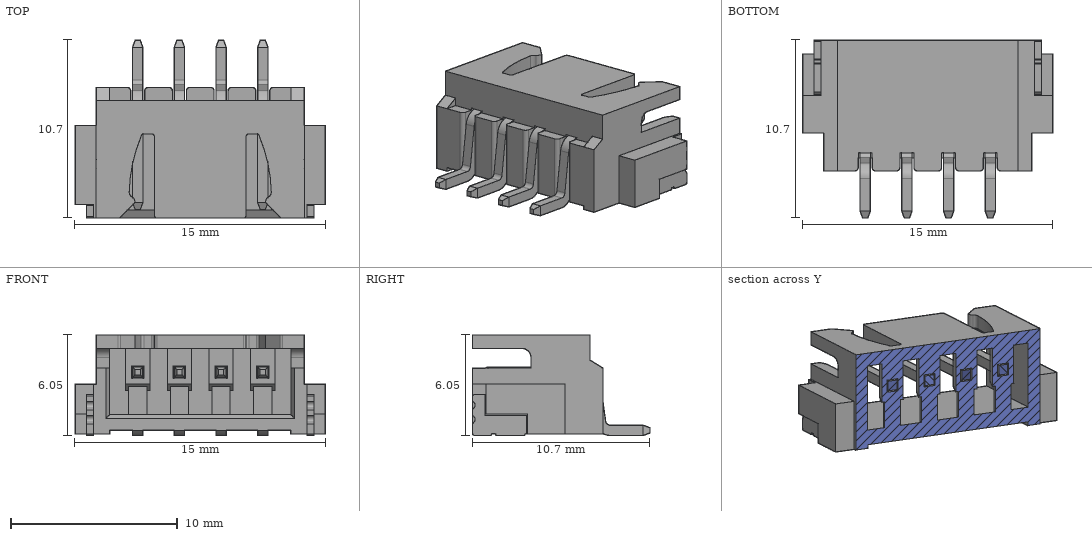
import cadquery as cq
import math


PIN_COUNT = 4
PIN_PITCH = 2.5

SHELL_WIDTH = 12.5
SHELL_DEPTH = 7.85
SHELL_TOP = 6.05
SHELL_BOTTOM = 0.09
CAVITY_WIDTH = 10.86
CAVITY_DEPTH = 5.91
FLOOR_TOP = 1.26
ROOF_UNDERSIDE = 5.22
SILL_DROP = 0.22
SILL_LENGTH = 0.48
BELLY_WIDTH = 10.83
BELLY_Z = 0.32

REAR_STEP_Y = 7.06
REAR_SLOPE_TOP = 4.53
REAR_SLOPE_BOTTOM = 4.05
TAIL_SLOT_WIDTH = 0.82
TAIL_SLOT_CORNER = 0.22

WINDOW_DEPTH = 3.51
WINDOW_BOTTOM = 4.05
WINDOW_FILLET = 0.54
SLOT_INNER_X = 2.75
SLOT_END_Y = 5.05
SLOT_CORNER = 0.18
TONGUE_CORNER = 0.16
SLOT_SHOULDER_X = 3.55
SLOT_BULGE = (4.04, 3.38)
SLOT_BELLY = (4.26, 1.56)
HOOK_HOLLOW = (4.22, 1.4)
HOOK_CREST = (4.08, 1.28)
HOOK_NOSE = (3.96, 1.14)
HOOK_TIP = (3.92, 0.93)
MOUTH_ANGLE = math.radians(45)
FINGER_CORNER = 0.22

PILLAR_WIDTH = 1.45
PILLAR_DEPTH = 0.45
PILLAR_BOTTOM = 3.09
PILLAR_SLOPE_END = 2.72
PILLAR_FOOT_WIDTH = 1.1
PILLAR_FOOT_TOP = 2.95

EAR_SPAN = 15.0
EAR_TOP = 3.09
EAR_FRONT_Y = 0.81
EAR_BACK_Y = 5.56
EAR_NOTCH_Y = 3.3
EAR_NOTCH_TOP = 1.3
CHEEK_WIDTH = 12.78
TAB_THICKNESS = 0.44
TAB_TOP = 2.46
TAB_FOOT_TOP = 1.2
TAB_FOOT_LENGTH = 3.25
TAB_ARM_WIDTH = 0.76
TAB_REAR_CHAMFER = 0.15
TAB_EDGE_CHAMFER = 0.09
TOOTH_NOTCH_TOPS = (2.05, 1.2)
TOOTH_NOTCH_HEIGHT = 0.51
TOOTH_NOTCH_DEPTH = 0.16
TOOTH_BEVEL_HEIGHT = 0.12
TOOTH_BEVEL_DEPTH = 0.1
SOLE_NOTCH_Y = 1.28
SOLE_NOTCH_HALF = 0.15
SOLE_NOTCH_DEPTH = 0.12

PIN_SIZE = 0.63
PIN_HOLE = 0.72
PIN_AXIS_Z = 3.802
PIN_FRONT_Y = 0.52
PIN_END_Y = 10.66
TIP_LENGTH = 0.42
TIP_SIZE = 0.32
BEND_RADIUS = 0.6
LEG_LEAN = math.radians(7.8)
LOWER_BEND_Y = 8.28

TAIL_AXIS_Z = PIN_SIZE / 2
BEND_ANGLE = math.pi / 2 - LEG_LEAN
LEG_DROP = PIN_AXIS_Z - TAIL_AXIS_Z - 2 * BEND_RADIUS * (1 - math.sin(LEG_LEAN))
UPPER_BEND_Y = LOWER_BEND_Y - 2 * BEND_RADIUS * math.cos(LEG_LEAN) - LEG_DROP * math.tan(LEG_LEAN)

pin_xs = [(i - (PIN_COUNT - 1) / 2) * PIN_PITCH for i in range(PIN_COUNT)]


def box(width, y_range, z_range, x=0.0):
    """Block of the given X width, centred on x, between two Y and two Z values."""
    depth = y_range[1] - y_range[0]
    height = z_range[1] - z_range[0]
    block = cq.Workplane("XY").box(width, depth, height, centered=(True, False, False))
    return block.translate((x, y_range[0], z_range[0]))


def profile_along_x(points, width, x=0.0):
    """Closed (Y, Z) outline extruded to the given X width, centred on x."""
    return cq.Workplane("YZ").polyline(points).close().extrude(width / 2, both=True).translate((x, 0, 0))


def both_sides(shape):
    """The shape together with its mirror image in X = 0."""
    return shape.union(shape.mirror("YZ"))


def shell():
    """Outer block with the sloped rear shoulders and the thickened lower walls."""
    outline = [
        (0, SHELL_BOTTOM),
        (SHELL_DEPTH, SHELL_BOTTOM),
        (SHELL_DEPTH, REAR_SLOPE_BOTTOM),
        (REAR_STEP_Y, REAR_SLOPE_TOP),
        (REAR_STEP_Y, SHELL_TOP),
        (0, SHELL_TOP),
    ]
    cheeks = box(CHEEK_WIDTH, (0, EAR_BACK_Y), (SHELL_BOTTOM, EAR_TOP))
    rear_ledge = box(CAVITY_WIDTH, (REAR_STEP_Y, SHELL_DEPTH), (REAR_SLOPE_BOTTOM, SHELL_TOP))
    belly = box(BELLY_WIDTH, (0, SHELL_DEPTH), (SHELL_BOTTOM, BELLY_Z))
    return profile_along_x(outline, SHELL_WIDTH).union(cheeks).cut(rear_ledge).cut(belly)


def ears():
    """Side ears, notched in their lower front corner to clear the solder tabs."""
    outline = [
        (EAR_FRONT_Y, EAR_NOTCH_TOP),
        (EAR_NOTCH_Y, EAR_NOTCH_TOP),
        (EAR_NOTCH_Y, SHELL_BOTTOM),
        (EAR_BACK_Y, SHELL_BOTTOM),
        (EAR_BACK_Y, EAR_TOP),
        (EAR_FRONT_Y, EAR_TOP),
    ]
    ear_width = (EAR_SPAN - CHEEK_WIDTH) / 2
    return both_sides(profile_along_x(outline, ear_width, (EAR_SPAN - ear_width) / 2))


def cavity():
    """Mating cavity with a bevelled sill along the floor and the side walls."""
    cavity_height = ROOF_UNDERSIDE - FLOOR_TOP
    pocket = box(CAVITY_WIDTH, (0, CAVITY_DEPTH), (FLOOR_TOP, ROOF_UNDERSIDE))
    mouth_half = CAVITY_WIDTH / 2 + SILL_DROP
    side_bevel = (
        cq.Workplane("XY")
        .polyline([(-mouth_half, 0), (mouth_half, 0), (CAVITY_WIDTH / 2, SILL_LENGTH),
                   (-CAVITY_WIDTH / 2, SILL_LENGTH)])
        .close()
        .extrude(cavity_height + SILL_DROP)
        .translate((0, 0, FLOOR_TOP - SILL_DROP))
    )
    floor_bevel = profile_along_x(
        [(0, FLOOR_TOP - SILL_DROP), (SILL_LENGTH, FLOOR_TOP), (SILL_LENGTH, ROOF_UNDERSIDE),
         (0, ROOF_UNDERSIDE)],
        2 * mouth_half,
    )
    return pocket.union(side_bevel.intersect(floor_bevel))


def side_window():
    """Opening through both side walls under the roof, rounded at its upper rear edge."""
    window = box(EAR_SPAN, (0, WINDOW_DEPTH), (WINDOW_BOTTOM, ROOF_UNDERSIDE))
    return window.edges("|X and >Y and >Z").fillet(WINDOW_FILLET)


def roof_slots():
    """Two slots that leave a centre tongue and two hooked fingers in the roof."""
    mouth_x = HOOK_TIP[0] + HOOK_TIP[1] / math.tan(MOUTH_ANGLE)
    tangent = FINGER_CORNER * math.tan(MOUTH_ANGLE / 2)
    slot = (
        cq.Workplane("XY", origin=(0, 0, ROOF_UNDERSIDE))
        .moveTo(SLOT_INNER_X - TONGUE_CORNER, 0)
        .radiusArc((SLOT_INNER_X, TONGUE_CORNER), -TONGUE_CORNER)
        .lineTo(SLOT_INNER_X, SLOT_END_Y - SLOT_CORNER)
        .radiusArc((SLOT_INNER_X + SLOT_CORNER, SLOT_END_Y), SLOT_CORNER)
        .lineTo(SLOT_SHOULDER_X - SLOT_CORNER, SLOT_END_Y)
        .radiusArc((SLOT_SHOULDER_X, SLOT_END_Y - SLOT_CORNER), SLOT_CORNER)
        .threePointArc(SLOT_BULGE, SLOT_BELLY)
        .threePointArc(HOOK_HOLLOW, HOOK_CREST)
        .threePointArc(HOOK_NOSE, HOOK_TIP)
        .lineTo(mouth_x - tangent * math.cos(MOUTH_ANGLE), tangent * math.sin(MOUTH_ANGLE))
        .radiusArc((mouth_x + tangent, 0), -FINGER_CORNER)
        .close()
        .extrude(SHELL_TOP - ROOF_UNDERSIDE)
    )
    return both_sides(slot)


def pillar(x):
    """Pillar on the rear cavity wall: a sloped-bottom block over a narrower, shallower foot."""
    front_y = CAVITY_DEPTH - PILLAR_DEPTH
    head = profile_along_x(
        [(CAVITY_DEPTH, PILLAR_SLOPE_END), (front_y, PILLAR_BOTTOM), (front_y, ROOF_UNDERSIDE),
         (CAVITY_DEPTH, ROOF_UNDERSIDE)],
        PILLAR_WIDTH,
        x,
    )
    slope_share = (PILLAR_FOOT_TOP - PILLAR_SLOPE_END) / (PILLAR_BOTTOM - PILLAR_SLOPE_END)
    foot_front_y = CAVITY_DEPTH - PILLAR_DEPTH * slope_share
    foot = box(PILLAR_FOOT_WIDTH, (foot_front_y, CAVITY_DEPTH), (FLOOR_TOP, PILLAR_FOOT_TOP), x)
    return head.union(foot)


def pin_passage(x):
    """Square hole through the rear wall, opening into a slot with rounded outer corners for the leg."""
    hole_top = PIN_AXIS_Z + PIN_HOLE / 2
    hole = box(PIN_HOLE, (0, UPPER_BEND_Y), (PIN_AXIS_Z - PIN_HOLE / 2, hole_top), x)
    leg_slot = box(TAIL_SLOT_WIDTH, (UPPER_BEND_Y, SHELL_DEPTH), (SHELL_BOTTOM, hole_top), x)
    flare_width = TAIL_SLOT_WIDTH + 2 * TAIL_SLOT_CORNER
    flare_start = SHELL_DEPTH - TAIL_SLOT_CORNER
    flare = box(flare_width, (flare_start, SHELL_DEPTH), (SHELL_BOTTOM, hole_top), x)
    for side in (-1, 1):
        rounding = cq.Workplane("XY").circle(TAIL_SLOT_CORNER).extrude(hole_top)
        flare = flare.cut(rounding.translate((x + side * flare_width / 2, flare_start, 0)))
    return hole.union(leg_slot).union(flare)


def make_housing():
    body = shell().union(ears()).cut(cavity()).cut(side_window()).cut(roof_slots())
    for x in pin_xs:
        body = body.union(pillar(x))
    for x in pin_xs:
        body = body.cut(pin_passage(x))
    return body


def bend_point(centre, radius, angle):
    """(Y, Z) point at a signed radius from a bend centre, angle measured from vertical."""
    return (centre[0] + radius * math.sin(angle), centre[1] + radius * math.cos(angle))


def pin_shaft():
    """Contact, leaning leg and tail between the two tips, as one bent strip of square section."""
    half = PIN_SIZE / 2
    inner = BEND_RADIUS - half
    outer = BEND_RADIUS + half
    contact_start = PIN_FRONT_Y + TIP_LENGTH
    tail_end = PIN_END_Y - TIP_LENGTH
    upper = (UPPER_BEND_Y, PIN_AXIS_Z - BEND_RADIUS)
    lower = (LOWER_BEND_Y, TAIL_AXIS_Z + BEND_RADIUS)
    return (
        cq.Workplane("YZ")
        .moveTo(contact_start, PIN_AXIS_Z + half)
        .lineTo(*bend_point(upper, outer, 0))
        .threePointArc(bend_point(upper, outer, BEND_ANGLE / 2), bend_point(upper, outer, BEND_ANGLE))
        .lineTo(*bend_point(lower, -inner, BEND_ANGLE))
        .threePointArc(bend_point(lower, -inner, BEND_ANGLE / 2), bend_point(lower, -inner, 0))
        .lineTo(tail_end, TAIL_AXIS_Z + half)
        .lineTo(tail_end, TAIL_AXIS_Z - half)
        .lineTo(*bend_point(lower, -outer, 0))
        .threePointArc(bend_point(lower, -outer, BEND_ANGLE / 2), bend_point(lower, -outer, BEND_ANGLE))
        .lineTo(*bend_point(upper, inner, BEND_ANGLE))
        .threePointArc(bend_point(upper, inner, BEND_ANGLE / 2), bend_point(upper, inner, 0))
        .lineTo(contact_start, PIN_AXIS_Z - half)
        .close()
        .extrude(half, both=True)
    )


def pin_tip(base_y, end_y, axis_z):
    """Square tip that tapers along Y from the pin size at base_y to the tip size at end_y."""
    base = cq.Workplane("XZ", origin=(0, base_y, axis_z)).rect(PIN_SIZE, PIN_SIZE)
    return base.workplane(offset=base_y - end_y).rect(TIP_SIZE, TIP_SIZE).loft(ruled=True)


def make_pin(x):
    """Bent square pin with a tapered tip at each end."""
    front_tip = pin_tip(PIN_FRONT_Y + TIP_LENGTH, PIN_FRONT_Y, PIN_AXIS_Z)
    tail_tip = pin_tip(PIN_END_Y - TIP_LENGTH, PIN_END_Y, TAIL_AXIS_Z)
    return pin_shaft().union(front_tip).union(tail_tip).translate((x, 0, 0))


def tooth_notch(top):
    """Rounded notch in the front edge of a tab, with a bevel along its lower side."""
    bottom = top - TOOTH_NOTCH_HEIGHT
    bevel_top = bottom + TOOTH_BEVEL_HEIGHT
    return (
        cq.Workplane("YZ")
        .moveTo(0, top)
        .threePointArc((TOOTH_NOTCH_DEPTH, (top + bevel_top) / 2), (TOOTH_BEVEL_DEPTH, bevel_top))
        .lineTo(0, bottom)
        .close()
        .extrude(TAB_THICKNESS / 2, both=True)
    )


def make_tab(side):
    """L-shaped solder tab on the outside of a lower wall; side is -1 or 1."""
    tab_x = side * (CHEEK_WIDTH + TAB_THICKNESS) / 2
    outline = [
        (TAB_EDGE_CHAMFER, TAB_TOP),
        (0, TAB_TOP - TAB_EDGE_CHAMFER),
        (0, TAB_EDGE_CHAMFER),
        (TAB_EDGE_CHAMFER, 0),
        (TAB_FOOT_LENGTH - TAB_REAR_CHAMFER, 0),
        (TAB_FOOT_LENGTH, TAB_REAR_CHAMFER),
        (TAB_FOOT_LENGTH, TAB_FOOT_TOP),
        (TAB_ARM_WIDTH, TAB_FOOT_TOP),
        (TAB_ARM_WIDTH, TAB_TOP),
    ]
    tab = profile_along_x(outline, TAB_THICKNESS, tab_x)
    for top in TOOTH_NOTCH_TOPS:
        tab = tab.cut(tooth_notch(top).translate((tab_x, 0, 0)))
    sole_notch = [
        (SOLE_NOTCH_Y - SOLE_NOTCH_HALF, 0),
        (SOLE_NOTCH_Y - SOLE_NOTCH_HALF + SOLE_NOTCH_DEPTH / 2, SOLE_NOTCH_DEPTH),
        (SOLE_NOTCH_Y + SOLE_NOTCH_HALF - SOLE_NOTCH_DEPTH / 2, SOLE_NOTCH_DEPTH),
        (SOLE_NOTCH_Y + SOLE_NOTCH_HALF, 0),
    ]
    return tab.cut(profile_along_x(sole_notch, TAB_THICKNESS, tab_x))


housing = make_housing()
pins = [make_pin(x) for x in pin_xs]
tabs = [make_tab(side) for side in (-1, 1)]

result = cq.Compound.makeCompound(
    [housing.val()] + [pin.val() for pin in pins] + [tab.val() for tab in tabs]
)